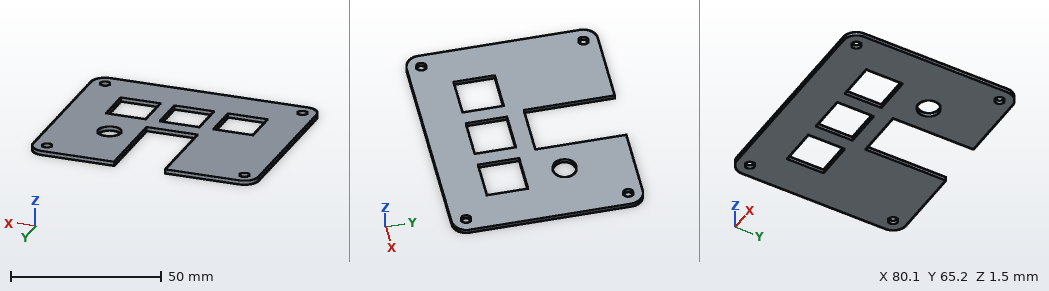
import cadquery as cq

length = 80.1
width = 65.2
thickness = 1.5
corner_radius = 5.0

mount_diameter = 3.4
mount_spacing_x = length - 2 * corner_radius
mount_spacing_y = width - 2 * corner_radius

window_side = 14.0
window_pitch = 19.1
window_count = 3
window_row_y = -11.5

notch_width = 18.1
notch_center_x = 0.3
notch_floor_y = 1.6
notch_depth = width / 2 - notch_floor_y

round_diameter = 8
round_x = 19.7
round_y = 9.3


def rounded_plate():
    plate = cq.Workplane("XY").rect(length, width).extrude(thickness)
    return plate.edges("|Z").fillet(corner_radius)


def mounting_holes():
    corners = cq.Workplane("XY").rect(mount_spacing_x, mount_spacing_y, forConstruction=True).vertices()
    return corners.circle(mount_diameter / 2).extrude(thickness)


def windows():
    row = cq.Workplane("XY").center(0, window_row_y)
    row = row.rarray(window_pitch, 0.8, window_count, 1)
    return row.rect(window_side, window_side).extrude(thickness)


def notch():
    center_y = notch_floor_y + notch_depth / 2
    sketch = cq.Workplane("XY").center(notch_center_x, center_y)
    return sketch.rect(notch_width, notch_depth).extrude(thickness)


def round_hole():
    return cq.Workplane("XY").center(round_x, round_y).circle(round_diameter / 2).extrude(thickness)


result = rounded_plate()
for opening in (mounting_holes(), windows(), notch(), round_hole()):
    result = result.cut(opening)